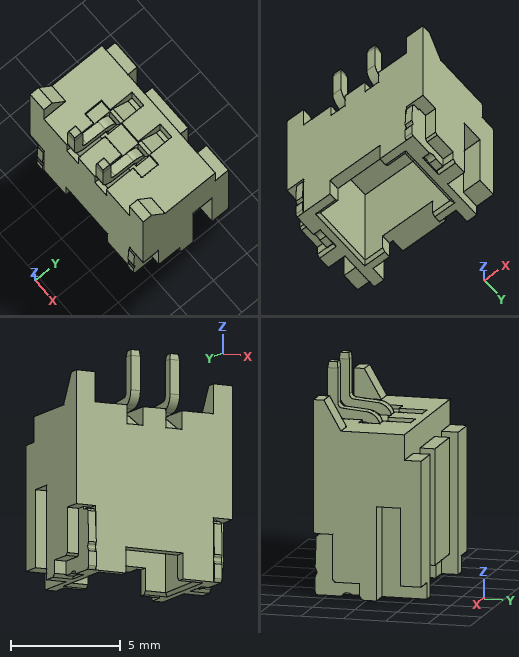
import cadquery as cq
import math


width = 8.0
half_width = width / 2
depth = 5.1
body_top = 7.85
wall_front = 4.31
block_top = 6.66
side_block_width = 1.56
key_width = 2.54
key_front = 5.01
ear_width = 0.98
ear_top = 9.25
ear_top_depth = 0.5
ear_base_depth = 1.31

cavity_half_width = 2.5
cavity_back = 0.56
cavity_front = 3.8
cavity_depth = 6.0
mouth_chamfer = 0.16
notch_width = 2.94
notch_height = 1.21

recess_depth = 0.98
window_back = 2.99
window_front = 4.12
window_top = 4.41
foot_height = 0.77
recess_top = 3.0
recess_front = 0.91
foot_front = 2.18
recess_corner_chamfer = 0.11

tab_thickness = 0.4
tab_reach = 0.08
tab_foot_bottom = 0.1
arch_back = (1.19, 0)
arch_crown = (1.38, 0.17)
arch_front = (1.66, tab_foot_bottom)
heel_height = 0.17
groove_z = 1.07
groove_half_height = 0.11
groove_lip_height = 0.1
groove_mouth = 0.04
tab_shoulder_y = 0.09
tab_shoulder_z = 2.86
tab_step_top = (0.45, recess_top)
tab_step_mid = (0.42, 2.9)
tab_step_bottom = (0.33, tab_shoulder_z)
tab_nose_mid = (0.04, 2.81)
tab_nose_end = (-0.03, 2.73)

pin_pitch = 2.01
slot_pitch = 1.99
slot_width = 0.82
slot_front = 3.9
slot_bottom = 6.97
back_ledge_depth = 0.27
back_ramp_end = 1.45
front_ramp_start = 2.76
front_ramp_end = 3.67
shelf_z = 7.67
shelf_width = 4.01
shelf_back = 1.61
shelf_front = 2.59

pin_width = 0.5
pin_thickness = 0.49
pin_top = 10.45
pin_tip_height = 0.29
pin_tip_inset = 0.04
pin_root_y = 2.18
pin_upright_y = 0.17
pin_root_z = 6.27
pin_arm_z = 7.92
pin_arm_tilt = math.radians(5)
root_bend_radius = 0.5
upright_bend_radius = 0.49
funnel_width = 0.77
funnel_depth = 0.19


def box(x_min, x_max, y_min, y_max, z_min, z_max):
    size = (x_max - x_min, y_max - y_min, z_max - z_min)
    return cq.Workplane("XY").box(*size, centered=False).translate((x_min, y_min, z_min))


def plate(profile, x_min, x_max):
    """Extrude a closed YZ profile between two X positions."""
    return profile.extrude(x_max - x_min).translate((x_min, 0, 0))


def mirrored(solid):
    """The solid together with its mirror image across X = 0."""
    return solid.union(solid.mirror("YZ"))


def make_housing():
    body = box(-half_width, half_width, 0, wall_front, 0, body_top)
    key = box(-key_width / 2, key_width / 2, wall_front, key_front, notch_height, block_top)
    side_block = box(-half_width, side_block_width - half_width, wall_front, depth, 0, block_top)
    ear_profile = cq.Workplane("YZ").polyline([
        (0, body_top),
        (ear_base_depth, body_top),
        (ear_top_depth, ear_top),
        (0, ear_top),
    ]).close()
    ear = plate(ear_profile, -half_width, ear_width - half_width)
    return body.union(key).union(mirrored(side_block)).union(mirrored(ear))


def make_cavity():
    cavity = box(-cavity_half_width, cavity_half_width, cavity_back, cavity_front, 0, cavity_depth)
    mouth = (
        cq.Workplane("XY")
        .center(0, (cavity_back + cavity_front) / 2)
        .rect(2 * (cavity_half_width + mouth_chamfer), cavity_front - cavity_back + 2 * mouth_chamfer)
        .extrude(mouth_chamfer, taper=45)
    )
    notch = box(-notch_width / 2, notch_width / 2, 0, depth, 0, notch_height)
    return cavity.union(mouth).union(notch)


def make_side_window():
    inner_x = recess_depth - half_width
    window = box(-half_width, inner_x, window_back, window_front, 0, window_top)
    return window.union(box(-half_width, inner_x, window_front, depth, 0, foot_height))


def make_hold_down_recess():
    profile = cq.Workplane("YZ").polyline([
        (0, 0),
        (foot_front + mouth_chamfer, 0),
        (foot_front, mouth_chamfer),
        (foot_front, foot_height),
        (recess_front + recess_corner_chamfer, foot_height),
        (recess_front, foot_height + recess_corner_chamfer),
        (recess_front, recess_top),
        (0, recess_top),
    ]).close()
    return plate(profile, -half_width, recess_depth - half_width)


def make_hold_down_tab():
    """L-shaped sheet tab with a rounded groove in its back edge."""
    groove_lip = groove_half_height + groove_lip_height
    heel_mid = (-0.6 * tab_reach, 0.4 * heel_height)
    profile = (
        cq.Workplane("YZ")
        .moveTo(0, 0)
        .lineTo(*arch_back)
        .threePointArc(arch_crown, arch_front)
        .lineTo(foot_front, tab_foot_bottom)
        .lineTo(foot_front, foot_height)
        .lineTo(recess_front + recess_corner_chamfer, foot_height)
        .lineTo(recess_front, foot_height + recess_corner_chamfer)
        .lineTo(recess_front, recess_top)
        .lineTo(*tab_step_top)
        .threePointArc(tab_step_mid, tab_step_bottom)
        .lineTo(tab_shoulder_y, tab_shoulder_z)
        .threePointArc(tab_nose_mid, tab_nose_end)
        .lineTo(-tab_reach, groove_z + groove_lip)
        .lineTo(-groove_mouth, groove_z + groove_half_height)
        .threePointArc((0, groove_z), (-groove_mouth, groove_z - groove_half_height))
        .lineTo(-tab_reach, groove_z - groove_lip)
        .lineTo(-tab_reach, heel_height)
        .threePointArc(heel_mid, (0, 0))
        .close()
    )
    inner_x = recess_depth - half_width
    return plate(profile, inner_x - tab_thickness, inner_x)


def make_pin_slot(x):
    profile = cq.Workplane("YZ").polyline([
        (0, body_top),
        (0, slot_bottom),
        (back_ledge_depth, slot_bottom),
        (back_ramp_end, shelf_z),
        (front_ramp_start, shelf_z),
        (front_ramp_end, slot_bottom),
        (slot_front, slot_bottom),
        (slot_front, body_top),
    ]).close()
    return plate(profile, x - slot_width / 2, x + slot_width / 2)


def make_funnel(x):
    """Tapered pocket around the pin where it leaves the housing."""
    return (
        cq.Workplane("XY", origin=(x, pin_root_y, shelf_z))
        .rect(funnel_width, funnel_width)
        .workplane(offset=-funnel_depth)
        .rect(pin_width, pin_thickness)
        .loft()
    )


def make_pin(x):
    """Pin that leaves the housing upward, bends to the back and bends up again."""
    turn = math.pi / 2 - pin_arm_tilt
    root_tangent = root_bend_radius * math.tan(turn / 2)
    upright_tangent = upright_bend_radius * math.tan(turn / 2)
    arm_run = pin_root_y - pin_upright_y
    upright_corner_z = pin_arm_z + arm_run * math.tan(pin_arm_tilt)
    cos_tilt = math.cos(pin_arm_tilt)
    sin_tilt = math.sin(pin_arm_tilt)
    shoulder_z = pin_top - pin_tip_height

    path = (
        cq.Workplane("YZ", origin=(x, 0, 0))
        .moveTo(pin_root_y, pin_root_z)
        .lineTo(pin_root_y, pin_arm_z - root_tangent)
        .tangentArcPoint(
            (pin_root_y - root_tangent * cos_tilt, pin_arm_z + root_tangent * sin_tilt),
            relative=False,
        )
        .lineTo(
            pin_upright_y + upright_tangent * cos_tilt,
            upright_corner_z - upright_tangent * sin_tilt,
        )
        .tangentArcPoint((pin_upright_y, upright_corner_z + upright_tangent), relative=False)
        .lineTo(pin_upright_y, shoulder_z)
    )
    bar = (
        cq.Workplane("XY", origin=(x, pin_root_y, pin_root_z))
        .rect(pin_width, pin_thickness)
        .sweep(path)
    )
    tip = (
        cq.Workplane("XY", origin=(x, pin_upright_y, shoulder_z))
        .rect(pin_width, pin_thickness)
        .workplane(offset=pin_tip_height)
        .rect(pin_width - 2 * pin_tip_inset, pin_thickness - 2 * pin_tip_inset)
        .loft()
    )
    return bar.union(tip)


housing = make_housing().cut(make_cavity())
housing = housing.cut(mirrored(make_side_window()))
housing = housing.cut(mirrored(make_hold_down_recess()))
housing = housing.cut(
    box(-shelf_width / 2, shelf_width / 2, shelf_back, shelf_front, shelf_z, body_top)
)

for side in (-1, 1):
    housing = housing.cut(make_pin_slot(side * slot_pitch / 2))
    housing = housing.cut(make_funnel(side * pin_pitch / 2))

result = housing.union(mirrored(make_hold_down_tab()))
for side in (-1, 1):
    result = result.union(make_pin(side * pin_pitch / 2))